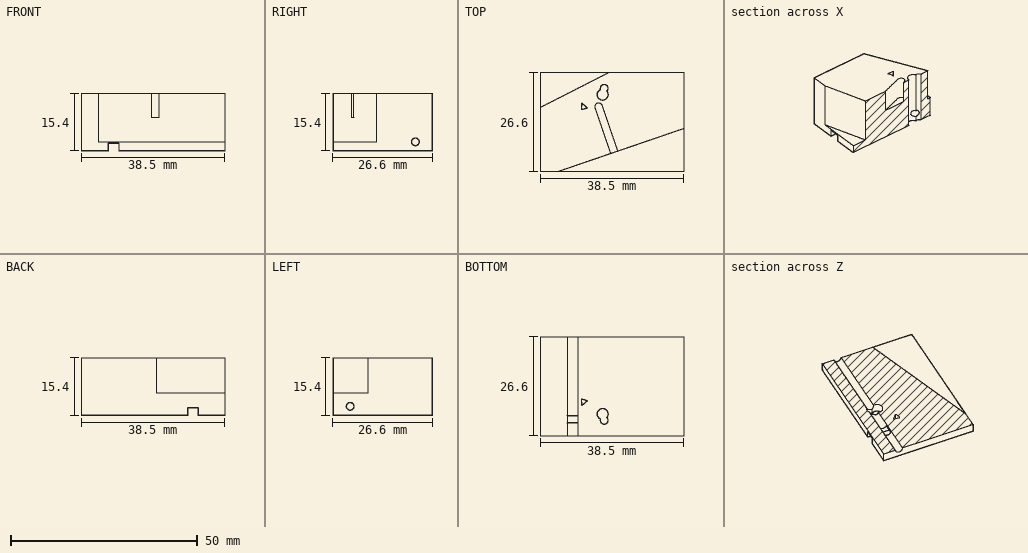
import cadquery as cq
import math

LENGTH = 38.53
WIDTH = 26.6
HEIGHT = 15.37

FRONT_WALL_START_X = 4.62
FRONT_WALL_END_Y = 11.6
FRONT_LEDGE_HEIGHT = 2.35

BACK_CUT_LENGTH = 18.38
BACK_CUT_WIDTH = 9.35
BACK_LEDGE_HEIGHT = 5.97

SMALL_DIAMETER = 2.0
SLOT_END = (15.6, 17.4)
SLOT_DEPTH = 6.4

LARGE_HOLE_DIAMETER = 2.9
LARGE_HOLE_CENTER = (16.7, 20.65)
SMALL_HOLE_CENTER = (17.1, 22.35)

TRIANGLE = [(11.15, 18.35), (12.55, 17.1), (11.02, 16.65)]

GROOVE_START_X = 7.25
GROOVE_WIDTH = 2.77
GROOVE_HEIGHT = 2.0

CROSS_HOLE_Y = 22.05
CROSS_HOLE_Z = 2.4


def prism(points, bottom):
    """Vertical prism from the given height up to the top face."""
    return cq.Workplane("XY").workplane(offset=bottom).polyline(points).close().extrude(HEIGHT - bottom)


def vertical_hole(center, diameter):
    return cq.Workplane("XY").center(*center).circle(diameter / 2).extrude(HEIGHT)


def open_slot():
    """Slot with a half-round inner end, running out past the front wall."""
    wall_angle = math.degrees(math.atan2(FRONT_WALL_END_Y, LENGTH - FRONT_WALL_START_X))
    radius = SMALL_DIAMETER / 2
    run_out = WIDTH
    profile = (
        cq.Workplane("XY")
        .moveTo(-radius, -run_out)
        .lineTo(-radius, 0)
        .threePointArc((0, radius), (radius, 0))
        .lineTo(radius, -run_out)
        .close()
    )
    return (
        profile.extrude(SLOT_DEPTH)
        .rotate((0, 0, 0), (0, 0, 1), wall_angle)
        .translate((*SLOT_END, HEIGHT - SLOT_DEPTH))
    )


block = cq.Workplane("XY").box(LENGTH, WIDTH, HEIGHT, centered=False)

front_cut = prism(
    [(FRONT_WALL_START_X, 0), (LENGTH, 0), (LENGTH, FRONT_WALL_END_Y)], FRONT_LEDGE_HEIGHT
)
back_cut = prism(
    [(0, WIDTH - BACK_CUT_WIDTH), (BACK_CUT_LENGTH, WIDTH), (0, WIDTH)], BACK_LEDGE_HEIGHT
)
groove = (
    cq.Workplane("XY")
    .box(GROOVE_WIDTH, WIDTH, GROOVE_HEIGHT, centered=False)
    .translate((GROOVE_START_X, 0, 0))
)
cross_hole = (
    cq.Workplane("YZ").center(CROSS_HOLE_Y, CROSS_HOLE_Z).circle(SMALL_DIAMETER / 2).extrude(LENGTH)
)

result = (
    block.cut(front_cut)
    .cut(back_cut)
    .cut(open_slot())
    .cut(vertical_hole(LARGE_HOLE_CENTER, LARGE_HOLE_DIAMETER))
    .cut(vertical_hole(SMALL_HOLE_CENTER, SMALL_DIAMETER))
    .cut(prism(TRIANGLE, 0))
    .cut(groove)
    .cut(cross_hole)
)